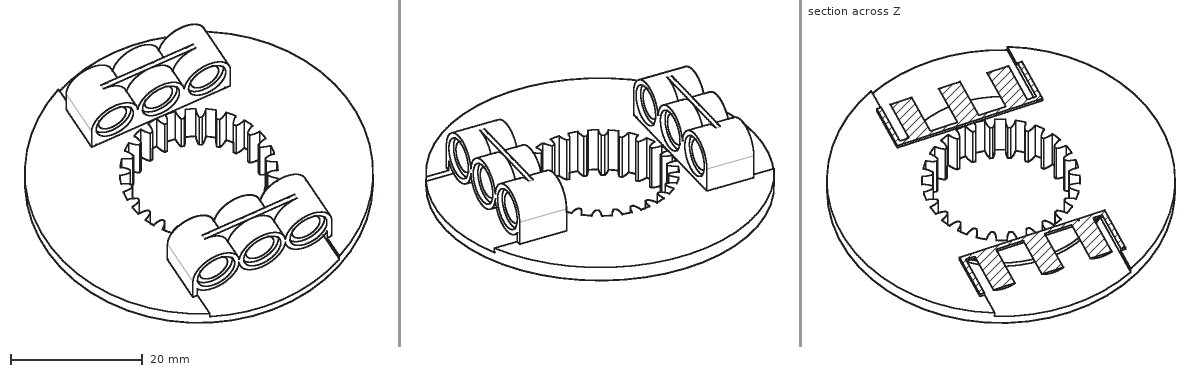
import cadquery as cq

plate_diameter = 52.8
plate_radius = plate_diameter / 2
plate_thickness = 2.4
hub_diameter = 28.0
hub_height = 4.8
base_height = plate_thickness + hub_height

tooth_count = 24
root_radius = 12.0
tip_radius = 10.4
flank_middle_radius = 11.2
tooth_root_width = 1.55
tooth_middle_width = 1.2
tooth_tip_width = 0.5
tooth_root_overlap = 0.25

pitch = 7.95
tube_count = 3
tube_diameter = 8.0
tube_radius = tube_diameter / 2
beam_width = tube_diameter
beam_centre_x = 16.0
beam_inner_x = beam_centre_x - beam_width / 2
beam_outer_x = beam_centre_x + beam_width / 2
end_axis_y = pitch * (tube_count - 1) / 2
beam_half_length = end_axis_y + tube_radius
wall = 0.8

pin_hole_diameter = 4.8
counterbore_diameter = 6.4
counterbore_depth = 0.8

recess_depth = 0.8
recess_half_length = beam_half_length - wall
recess_core_radius = 16.5
pocket_inner_x = beam_inner_x + wall

tube_axes = [i * pitch - end_axis_y for i in range(tube_count)]


def block(x_min, x_max, half_length, z_min, z_max):
    """Box centred on Y = 0."""
    size = (x_max - x_min, 2 * half_length, z_max - z_min)
    return cq.Workplane("XY").box(*size, centered=(False, True, False)).translate((x_min, 0, z_min))


def rods(x_min, x_max, diameter):
    """One round rod along X on every tube axis."""
    origins = [(x_min, y, tube_radius) for y in tube_axes]
    rod_set = cq.Workplane("YZ")
    for origin in origins:
        rod_set = rod_set.union(cq.Workplane("YZ", origin=origin).circle(diameter / 2).extrude(x_max - x_min))
    return rod_set


def make_base():
    plate = cq.Workplane("XY").circle(plate_radius).extrude(-plate_thickness)
    hub = cq.Workplane("XY").circle(hub_diameter / 2).extrude(-base_height)
    bore = cq.Workplane("XY").circle(root_radius).extrude(-base_height)
    return plate.union(hub).cut(bore)


def make_teeth():
    half_root = tooth_root_width / 2
    half_middle = tooth_middle_width / 2
    half_tip = tooth_tip_width / 2
    tooth = (
        cq.Workplane("XY")
        .moveTo(root_radius + tooth_root_overlap, -half_root)
        .lineTo(root_radius, -half_root)
        .threePointArc((flank_middle_radius, -half_middle), (tip_radius, -half_tip))
        .lineTo(tip_radius, half_tip)
        .threePointArc((flank_middle_radius, half_middle), (root_radius, half_root))
        .lineTo(root_radius + tooth_root_overlap, half_root)
        .close()
        .extrude(-base_height)
    )
    teeth = tooth
    for i in range(1, tooth_count):
        teeth = teeth.union(tooth.rotate((0, 0, 0), (0, 0, 1), i * 360 / tooth_count))
    return teeth


def add_beam(base):
    """Add the +X beam and its recess to the base."""
    foot = block(beam_inner_x, beam_outer_x, beam_half_length, 0, tube_radius)
    pocket = block(pocket_inner_x, beam_outer_x, recess_half_length, 0, tube_radius)
    core = cq.Workplane("XY").circle(recess_core_radius).extrude(-recess_depth)
    recess = block(0, plate_radius, recess_half_length, -recess_depth, 0).cut(core)
    web = block(beam_centre_x - wall / 2, beam_centre_x + wall / 2, end_axis_y, tube_radius, tube_diameter)
    beam = base.union(foot.cut(pocket)).cut(recess).union(web)
    beam = beam.union(rods(beam_inner_x, beam_outer_x, tube_diameter))
    beam = beam.cut(rods(beam_inner_x, beam_outer_x, pin_hole_diameter))
    beam = beam.cut(rods(beam_inner_x, beam_inner_x + counterbore_depth, counterbore_diameter))
    return beam.cut(rods(beam_outer_x - counterbore_depth, beam_outer_x, counterbore_diameter))


result = make_base().union(make_teeth())
for turn in (0, 180):
    result = add_beam(result.rotate((0, 0, 0), (0, 0, 1), turn))